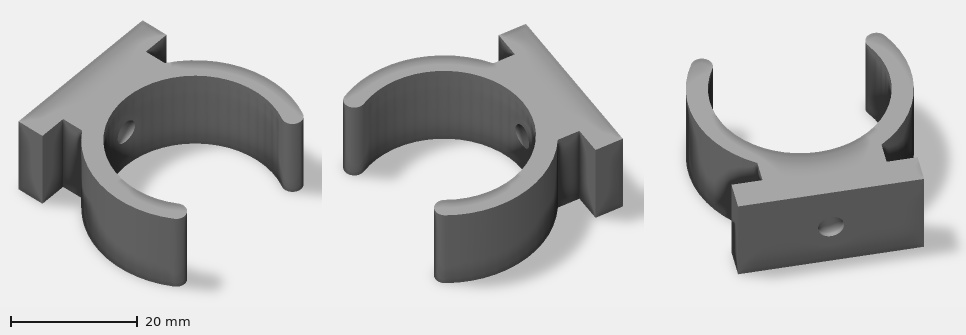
import cadquery as cq
import math

height = 15.0
outer_radius = 18.0
inner_radius = 14.5
tip_angle = 60.0
back_distance = 23.9
plate_thickness = 5.0
plate_width = 30.0
neck_width = 20.0
screw_hole_diameter = 4.2

mid_radius = (outer_radius + inner_radius) / 2
tip_radius = (outer_radius - inner_radius) / 2


def on_circle(radius, angle):
    """Point at the given angle in degrees on a circle about the clip centre."""
    return (radius * math.cos(math.radians(angle)), radius * math.sin(math.radians(angle)))


def rounded_tip_middle(side):
    """Outermost point of a rounded tip, half a tip width past the end of the arm."""
    x, y = on_circle(mid_radius, tip_angle)
    dx, dy = on_circle(tip_radius, tip_angle - 90)
    return (x + dx, side * (y + dy))


def make_clip():
    """Open C-shaped ring with full-round tips."""
    return (
        cq.Workplane("XY")
        .moveTo(*on_circle(outer_radius, tip_angle))
        .threePointArc((-outer_radius, 0), on_circle(outer_radius, -tip_angle))
        .threePointArc(rounded_tip_middle(-1), on_circle(inner_radius, -tip_angle))
        .threePointArc((-inner_radius, 0), on_circle(inner_radius, tip_angle))
        .threePointArc(rounded_tip_middle(1), on_circle(outer_radius, tip_angle))
        .close()
        .extrude(height)
    )


def make_base():
    """Mounting plate and neck, cut back to the inside of the clip."""
    plate = cq.Workplane("XY").box(
        plate_thickness, plate_width, height, centered=(False, True, False)
    )
    neck = cq.Workplane("XY").box(
        back_distance, neck_width, height, centered=(False, True, False)
    )
    bore = cq.Workplane("XY").circle(inner_radius).extrude(height)
    return plate.union(neck).translate((-back_distance, 0, 0)).cut(bore)


def make_screw_hole():
    """Cylinder along X from the mounting face into the clip opening."""
    return (
        cq.Workplane("YZ", origin=(-back_distance, 0, height / 2))
        .circle(screw_hole_diameter / 2)
        .extrude(back_distance)
    )


result = make_clip().union(make_base()).cut(make_screw_hole())